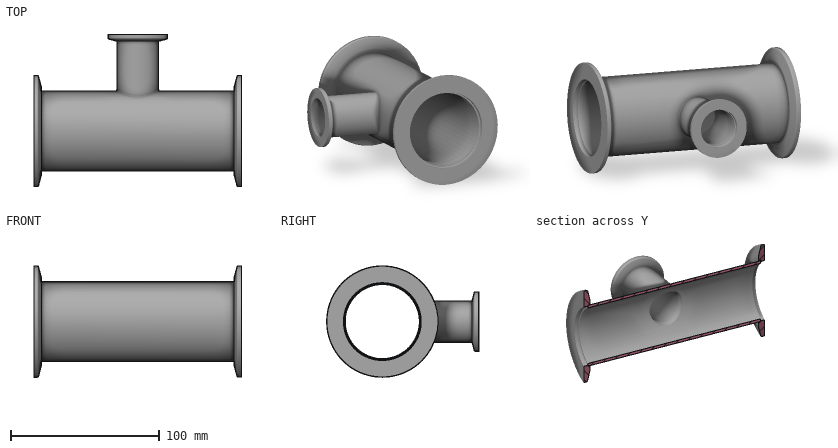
import cadquery as cq
import math

RUN_LENGTH = 140.0
BRANCH_REACH = 65.0

RUN_TUBE_OD = 54.0
RUN_TUBE_ID = 50.0
RUN_FLANGE_OD = 75.0
RUN_FLANGE_BORE = 52.4
RUN_FLANGE_THICKNESS = 5.1

BRANCH_TUBE_OD = 28.0
BRANCH_TUBE_ID = 25.0
BRANCH_FLANGE_OD = 40.0
BRANCH_FLANGE_BORE = 26.2
BRANCH_FLANGE_THICKNESS = 4.55

CLAMP_ANGLE = math.radians(15.0)
EDGE_THICKNESS = 3.0
RIM_RADIUS = 1.0
SOCKET_CLEARANCE = 0.1
BORE_DEPTH = 3.0

SEAL_WELD_SIZE = 0.35
SADDLE_RADIUS = 1.0


def make_flange(outer_diameter, bore, tube_diameter, thickness):
    """Clamp flange around Z: sealing face at Z = 0, tube side towards +Z, weld included."""
    outer_radius = outer_diameter / 2
    bore_radius = bore / 2
    socket_radius = (tube_diameter + SOCKET_CLEARANCE) / 2

    round_sweep = math.pi / 2 - CLAMP_ANGLE
    rim_width = EDGE_THICKNESS - RIM_RADIUS * math.tan(round_sweep / 2)

    def round_point(angle):
        return (
            outer_radius - RIM_RADIUS + RIM_RADIUS * math.cos(angle),
            rim_width + RIM_RADIUS * math.sin(angle),
        )

    cone_start = round_point(round_sweep)
    cone_end_radius = cone_start[0] - (thickness - cone_start[1]) / math.tan(CLAMP_ANGLE)

    return (
        cq.Workplane("XZ")
        .moveTo(bore_radius, 0)
        .lineTo(outer_radius, 0)
        .lineTo(outer_radius, rim_width)
        .threePointArc(round_point(round_sweep / 2), cone_start)
        .lineTo(cone_end_radius, thickness)
        .lineTo(socket_radius, thickness)
        .lineTo(socket_radius, BORE_DEPTH)
        .lineTo(bore_radius - SEAL_WELD_SIZE, BORE_DEPTH)
        .lineTo(bore_radius, BORE_DEPTH - SEAL_WELD_SIZE)
        .close()
        .revolve(360, (0, 0, 0), (0, 1, 0))
    )


def run_cylinder(diameter):
    """Cylinder along X between the seats of the two run flanges."""
    length = RUN_LENGTH - 2 * BORE_DEPTH
    return cq.Workplane("YZ").circle(diameter / 2).extrude(length / 2, both=True)


def branch_cylinder(diameter):
    """Cylinder from the run axis along +Y to the seat of the branch flange."""
    return cq.Workplane("XZ").circle(diameter / 2).extrude(-(BRANCH_REACH - BORE_DEPTH))


def make_tee():
    """One-piece tee: run and branch tubes, filleted at the saddle, bored through."""
    outside = run_cylinder(RUN_TUBE_OD).union(branch_cylinder(BRANCH_TUBE_OD))
    saddle_box = cq.selectors.BoxSelector(
        (-BRANCH_TUBE_OD, 0, -BRANCH_TUBE_OD),
        (BRANCH_TUBE_OD, RUN_TUBE_OD / 2, BRANCH_TUBE_OD),
    )
    outside = outside.edges(saddle_box).fillet(SADDLE_RADIUS)
    return outside.cut(run_cylinder(RUN_TUBE_ID)).cut(branch_cylinder(BRANCH_TUBE_ID))


def make_run_flanges():
    """The two flanges at the ends of the run, each facing outwards."""
    flanges = []
    for side in (-1, 1):
        flange = make_flange(RUN_FLANGE_OD, RUN_FLANGE_BORE, RUN_TUBE_OD, RUN_FLANGE_THICKNESS)
        flange = flange.rotate((0, 0, 0), (0, 1, 0), -side * 90)
        flanges.append(flange.translate((side * RUN_LENGTH / 2, 0, 0)))
    return flanges


def make_branch_flange():
    """The flange at the end of the branch, facing +Y."""
    flange = make_flange(
        BRANCH_FLANGE_OD,
        BRANCH_FLANGE_BORE,
        BRANCH_TUBE_OD,
        BRANCH_FLANGE_THICKNESS,
    )
    return flange.rotate((0, 0, 0), (1, 0, 0), 90).translate((0, BRANCH_REACH, 0))


tee = make_tee()
run_flanges = make_run_flanges()
branch_flange = make_branch_flange()

result = cq.Compound.makeCompound(
    [tee.val(), *[flange.val() for flange in run_flanges], branch_flange.val()]
)